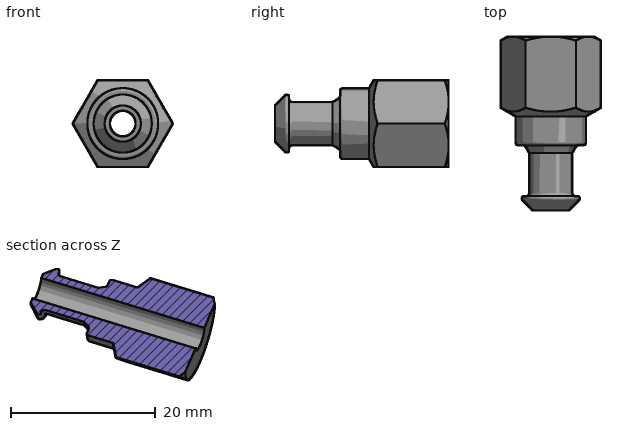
import cadquery as cq
import math

total_length = 24.0
lip_end = 2.0
neck_end = 7.97
collar_start = 9.0
collar_end = 13.0

bore_radius = 1.75
tip_radius = 2.5
neck_radius = 3.0
collar_radius = 4.9
across_flats = 12.0

lip_rounding = 0.34
fillet_radius = 0.4

chamfer_slope = math.tan(math.radians(30))
lip_radius = tip_radius + lip_end
flare_radius = neck_radius + (collar_start - neck_end) * chamfer_slope
corner_radius = across_flats / math.sqrt(3)
front_chamfer_length = (corner_radius - collar_radius) * chamfer_slope
back_chamfer_length = (corner_radius - across_flats / 2) * chamfer_slope


def revolve_profile(points):
    """Revolve an outline of (radius, y) points about the Y axis."""
    return cq.Workplane("XY").polyline(points).close().revolve(360, (0, 0), (0, 1))


def round_edge(body, edge_radius, edge_y, rounding):
    """Round the circular edge of the given radius and place on the Y axis."""
    tolerance = 0.002

    def matches(edge):
        return (
            edge.geomType() == "CIRCLE"
            and abs(edge.radius() - edge_radius) < tolerance
            and abs(edge.startPoint().y - edge_y) < tolerance
        )

    return body.edges().filter(matches).fillet(rounding)


def make_spigot():
    """Barb, neck and collar with their rounded edges."""
    spigot = revolve_profile([
        (0, 0),
        (tip_radius, 0),
        (lip_radius, lip_end),
        (neck_radius, lip_end),
        (neck_radius, neck_end),
        (flare_radius, collar_start),
        (collar_radius, collar_start),
        (collar_radius, collar_end),
        (0, collar_end),
    ])
    spigot = round_edge(spigot, lip_radius, lip_end, lip_rounding)
    spigot = round_edge(spigot, neck_radius, lip_end, fillet_radius)
    spigot = round_edge(spigot, flare_radius, collar_start, fillet_radius)
    return round_edge(spigot, collar_radius, collar_start, fillet_radius)


def make_hexagon():
    """Hexagonal body with corners on X, chamfered conically at both ends."""
    prism = (
        cq.Workplane("XZ", origin=(0, total_length, 0))
        .polygon(6, 2 * corner_radius)
        .extrude(total_length - collar_end)
    )
    chamfer_envelope = revolve_profile([
        (0, collar_end),
        (collar_radius, collar_end),
        (corner_radius, collar_end + front_chamfer_length),
        (corner_radius, total_length - back_chamfer_length),
        (across_flats / 2, total_length),
        (0, total_length),
    ])
    return prism.intersect(chamfer_envelope)


def make_bore():
    """Round passage along the whole part."""
    return (
        cq.Workplane("XZ", origin=(0, total_length, 0))
        .circle(bore_radius)
        .extrude(total_length)
    )


result = make_spigot().union(make_hexagon()).cut(make_bore())